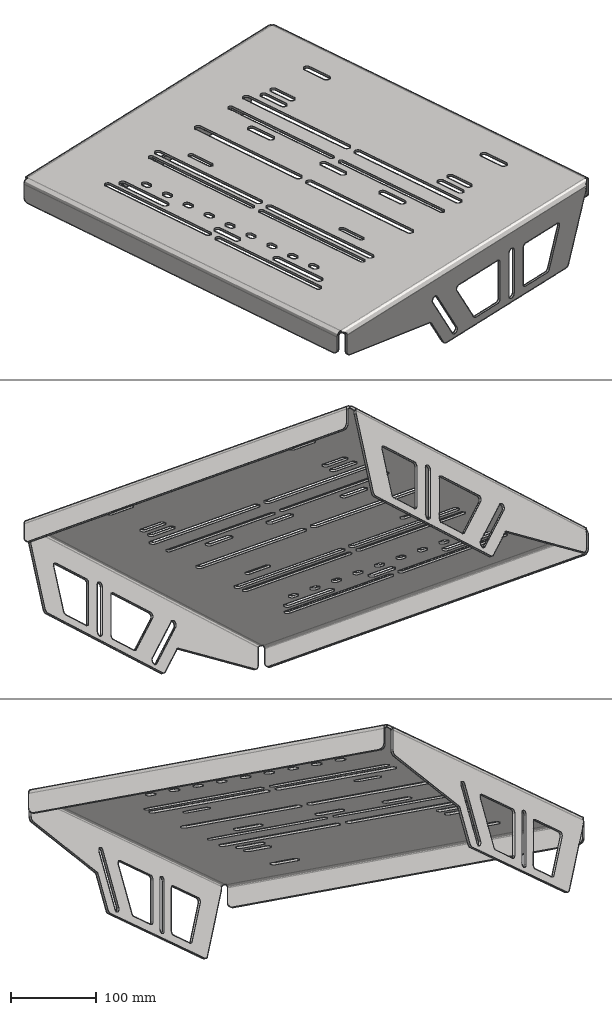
import cadquery as cq
import math

LENGTH_X = 499.04
WIDTH_Y = 441.97
HEIGHT_Z = 103.01
SHEET = 3.0
BEND_INNER = 3.0
BEND_OUTER = BEND_INNER + SHEET

HALF_X = LENGTH_X / 2
HALF_Y = WIDTH_Y / 2
DECK_HALF_X = HALF_X - BEND_OUTER
DECK_HALF_Y = HALF_Y - BEND_OUTER

LIP_HEIGHT = 30.5
LIP_CORNER_RADIUS = 6.5

WALL_END_INSET = 4.8
WALL_HALF_Y = DECK_HALF_Y - WALL_END_INSET
REAR_EDGE_TILT = math.radians(19.2)
REAR_EDGE_TOP_DEPTH = 10.0
FRONT_EDGE_TILT = math.radians(30)
ARM_SLOPE = math.radians(10)
FOOT_FRONT_Y = -38.8
ARM_TIP_DEPTH = 35.0
FOOT_CORNER_RADIUS = 5.5
ARM_TIP_RADIUS = 6.25
ARM_ROOT_RADIUS = 3.0

WINDOW_TOP = -33.0
WINDOW_BOTTOM = -93.0
WINDOW_RADIUS = 4.25
REAR_WINDOW_TOP_REAR_Y = 165.0
REAR_WINDOW_FRONT_Y = 99.5
FRONT_WINDOW_REAR_Y = 58.5
FRONT_WINDOW_BOTTOM_FRONT_Y = 13.75
WALL_SLOT_WIDTH = 9.0
WALL_SLOT_TOP_CENTER_Z = -32.75
WALL_SLOT_BOTTOM_CENTER_Z = -93.0
UPRIGHT_SLOT_Y = 79.0
TILTED_SLOT_BOTTOM_Y = -20.95

WIDE_SLOT = 9.0
MEDIUM_SLOT = 8.5
NARROW_SLOT = 6.5
FRONT_ROW_SLOT = 7.5

LONG_SLOT_INNER_X = 4.2
WIDE_LONG_SLOT_OUTER_X = 169.0
NARROW_LONG_SLOT_OUTER_X = 167.5
LONG_SLOT_ROWS = [
    (81.0, WIDE_SLOT, WIDE_LONG_SLOT_OUTER_X),
    (52.75, NARROW_SLOT, NARROW_LONG_SLOT_OUTER_X),
    (-4.0, WIDE_SLOT, WIDE_LONG_SLOT_OUTER_X),
    (-74.0, MEDIUM_SLOT, WIDE_LONG_SLOT_OUTER_X),
    (-87.0, NARROW_SLOT, NARROW_LONG_SLOT_OUTER_X),
    (-163.5, FRONT_ROW_SLOT, NARROW_LONG_SLOT_OUTER_X),
]

SHORT_SLOT_LENGTH = 39.0
SMALL_SLOT_LENGTH = 36.5
OUTER_SLOT_X = 137.55
INNER_SLOT_X = 101.95
FRONT_SMALL_SLOT_X = 117.25
STRAP_ROW_Y = -150.0
MIDDLE_ROW_Y = 36.1
MIRRORED_SLOTS = [
    (OUTER_SLOT_X, 174.0, SHORT_SLOT_LENGTH, WIDE_SLOT),
    (OUTER_SLOT_X, 113.8, SMALL_SLOT_LENGTH, MEDIUM_SLOT),
    (OUTER_SLOT_X, 98.25, SHORT_SLOT_LENGTH, MEDIUM_SLOT),
    (INNER_SLOT_X, MIDDLE_ROW_Y, SHORT_SLOT_LENGTH, WIDE_SLOT),
    (FRONT_SMALL_SLOT_X, -53.0, SMALL_SLOT_LENGTH, NARROW_SLOT),
    ((OUTER_SLOT_X + INNER_SLOT_X) / 2, STRAP_ROW_Y,
     OUTER_SLOT_X - INNER_SLOT_X + SHORT_SLOT_LENGTH, WIDE_SLOT),
]

CENTER_SLOT_X = 10.0
CENTER_SLOT_LENGTH = 38.75

HOLE_ROW_Y = -133.8
HOLE_COUNT = 9
HOLE_PITCH = 32.5
HOLE_LENGTH = 13.0


def bent_section(workplane, half_span, depth):
    """Outer half of a folded sheet: deck edge, bend and flange down to the given depth."""
    tangent = half_span - BEND_OUTER
    diagonal = math.sqrt(0.5)
    return (
        workplane.moveTo(tangent, 0)
        .threePointArc(
            (tangent + BEND_OUTER * diagonal, -BEND_OUTER + BEND_OUTER * diagonal),
            (half_span, -BEND_OUTER),
        )
        .lineTo(half_span, -depth)
        .lineTo(half_span - SHEET, -depth)
        .lineTo(half_span - SHEET, -BEND_OUTER)
        .threePointArc(
            (tangent + BEND_INNER * diagonal, -BEND_OUTER + BEND_INNER * diagonal),
            (tangent, -SHEET),
        )
        .close()
    )


def make_deck():
    return cq.Workplane("XY").box(
        2 * DECK_HALF_X, 2 * DECK_HALF_Y, SHEET, centered=(True, True, False)
    ).translate((0, 0, -SHEET))


def make_rear_lip():
    lip = bent_section(cq.Workplane("YZ"), HALF_Y, LIP_HEIGHT).extrude(DECK_HALF_X, both=True)
    return lip.faces("<Z").edges("|Y").fillet(LIP_CORNER_RADIUS)


def slanted_y(y, drop, tilt):
    """Y reached after descending by drop along an edge tilted from vertical towards -Y."""
    return y - drop * math.tan(tilt)


def wall_outline():
    """Side wall outline in YZ, as a solid spanning the whole part in X."""
    foot_rear_y = slanted_y(WALL_HALF_Y, HEIGHT_Z - REAR_EDGE_TOP_DEPTH, REAR_EDGE_TILT)
    tip_to_foot = FOOT_FRONT_Y + WALL_HALF_Y
    tip_above_foot = HEIGHT_Z - ARM_TIP_DEPTH
    root_rise = (tip_above_foot - tip_to_foot * math.tan(ARM_SLOPE)) / (
        1 - math.tan(FRONT_EDGE_TILT) * math.tan(ARM_SLOPE)
    )
    root_y = FOOT_FRONT_Y - root_rise * math.tan(FRONT_EDGE_TILT)
    root_z = root_rise - HEIGHT_Z
    outline = (
        cq.Workplane("YZ")
        .moveTo(-DECK_HALF_Y, 0)
        .lineTo(DECK_HALF_Y, 0)
        .lineTo(DECK_HALF_Y, -BEND_OUTER)
        .lineTo(WALL_HALF_Y, -BEND_OUTER)
        .lineTo(WALL_HALF_Y, -REAR_EDGE_TOP_DEPTH)
        .lineTo(foot_rear_y, -HEIGHT_Z)
        .lineTo(FOOT_FRONT_Y, -HEIGHT_Z)
        .lineTo(root_y, root_z)
        .lineTo(-WALL_HALF_Y, -ARM_TIP_DEPTH)
        .lineTo(-WALL_HALF_Y, -BEND_OUTER)
        .lineTo(-DECK_HALF_Y, -BEND_OUTER)
        .close()
        .extrude(HALF_X, both=True)
    )
    outline = outline.faces("<Z").edges("|X").fillet(FOOT_CORNER_RADIUS)
    tip = cq.selectors.NearestToPointSelector((0, -WALL_HALF_Y, -ARM_TIP_DEPTH))
    outline = outline.edges("|X").edges(tip).fillet(ARM_TIP_RADIUS)
    root = cq.selectors.NearestToPointSelector((0, root_y, root_z))
    return outline.edges("|X").edges(root).fillet(ARM_ROOT_RADIUS)


def wall_mitre():
    """Prism whose ends taper across the bend zone, square to the bend's 45 degree middle line."""
    across_bend = cq.Plane(origin=(DECK_HALF_X, 0, 0), xDir=(1, 0, -1), normal=(1, 0, 1))
    taper_start = SHEET * math.sqrt(0.5)
    taper_end = (BEND_INNER + BEND_OUTER) * math.sqrt(0.5)
    return (
        cq.Workplane(across_bend)
        .polyline([
            (0, -DECK_HALF_Y),
            (taper_start, -DECK_HALF_Y),
            (taper_end, -WALL_HALF_Y),
            (HEIGHT_Z, -WALL_HALF_Y),
            (HEIGHT_Z, WALL_HALF_Y),
            (taper_end, WALL_HALF_Y),
            (taper_start, DECK_HALF_Y),
            (0, DECK_HALF_Y),
        ])
        .close()
        .extrude(HEIGHT_Z, both=True)
    )


def make_right_wall():
    section = bent_section(cq.Workplane("XZ"), HALF_X, HEIGHT_Z)
    folded = section.extrude(DECK_HALF_Y, both=True)
    return folded.intersect(wall_outline()).intersect(wall_mitre())


def window(corners):
    cutter = cq.Workplane("YZ").polyline(corners).close().extrude(HALF_X, both=True)
    return cutter.edges("|X").fillet(WINDOW_RADIUS)


def rear_window():
    drop = WINDOW_TOP - WINDOW_BOTTOM
    return window([
        (REAR_WINDOW_TOP_REAR_Y, WINDOW_TOP),
        (REAR_WINDOW_FRONT_Y, WINDOW_TOP),
        (REAR_WINDOW_FRONT_Y, WINDOW_BOTTOM),
        (slanted_y(REAR_WINDOW_TOP_REAR_Y, drop, REAR_EDGE_TILT), WINDOW_BOTTOM),
    ])


def front_window():
    rise = WINDOW_TOP - WINDOW_BOTTOM
    return window([
        (FRONT_WINDOW_REAR_Y, WINDOW_TOP),
        (FRONT_WINDOW_BOTTOM_FRONT_Y - rise * math.tan(FRONT_EDGE_TILT), WINDOW_TOP),
        (FRONT_WINDOW_BOTTOM_FRONT_Y, WINDOW_BOTTOM),
        (FRONT_WINDOW_REAR_Y, WINDOW_BOTTOM),
    ])


def wall_slot(bottom_y, tilt):
    """Slot through both walls, its top leaning towards -Y by the given tilt."""
    rise = WALL_SLOT_TOP_CENTER_Z - WALL_SLOT_BOTTOM_CENTER_Z
    center_y = bottom_y - rise * math.tan(tilt) / 2
    center_z = (WALL_SLOT_TOP_CENTER_Z + WALL_SLOT_BOTTOM_CENTER_Z) / 2
    length = rise / math.cos(tilt) + WALL_SLOT_WIDTH
    return (
        cq.Workplane("YZ")
        .center(center_y, center_z)
        .slot2D(length, WALL_SLOT_WIDTH, 90 + math.degrees(tilt))
        .extrude(HALF_X, both=True)
    )


def cut_deck_slots(body, centers, length, width):
    cutters = cq.Workplane("XY").pushPoints(centers).slot2D(length, width).extrude(-SHEET)
    return body.cut(cutters)


def perforate_deck(body):
    for row_y, width, outer_x in LONG_SLOT_ROWS:
        center_x = (outer_x + LONG_SLOT_INNER_X) / 2
        centers = [(-center_x, row_y), (center_x, row_y)]
        body = cut_deck_slots(body, centers, outer_x - LONG_SLOT_INNER_X, width)
    for center_x, row_y, length, width in MIRRORED_SLOTS:
        centers = [(-center_x, row_y), (center_x, row_y)]
        body = cut_deck_slots(body, centers, length, width)
    center_slots = [(CENTER_SLOT_X, MIDDLE_ROW_Y), (CENTER_SLOT_X, STRAP_ROW_Y)]
    body = cut_deck_slots(body, center_slots, CENTER_SLOT_LENGTH, WIDE_SLOT)
    first_hole_x = -HOLE_PITCH * (HOLE_COUNT - 1) / 2
    holes = [(first_hole_x + i * HOLE_PITCH, HOLE_ROW_Y) for i in range(HOLE_COUNT)]
    return cut_deck_slots(body, holes, HOLE_LENGTH, MEDIUM_SLOT)


rear_lip = make_rear_lip()
right_wall = make_right_wall()
for opening in (
    rear_window(),
    front_window(),
    wall_slot(UPRIGHT_SLOT_Y, 0),
    wall_slot(TILTED_SLOT_BOTTOM_Y, FRONT_EDGE_TILT),
):
    right_wall = right_wall.cut(opening)

tray = make_deck()
tray = tray.union(rear_lip).union(rear_lip.mirror("XZ"))
tray = tray.union(right_wall).union(right_wall.mirror("YZ"))
result = perforate_deck(tray)